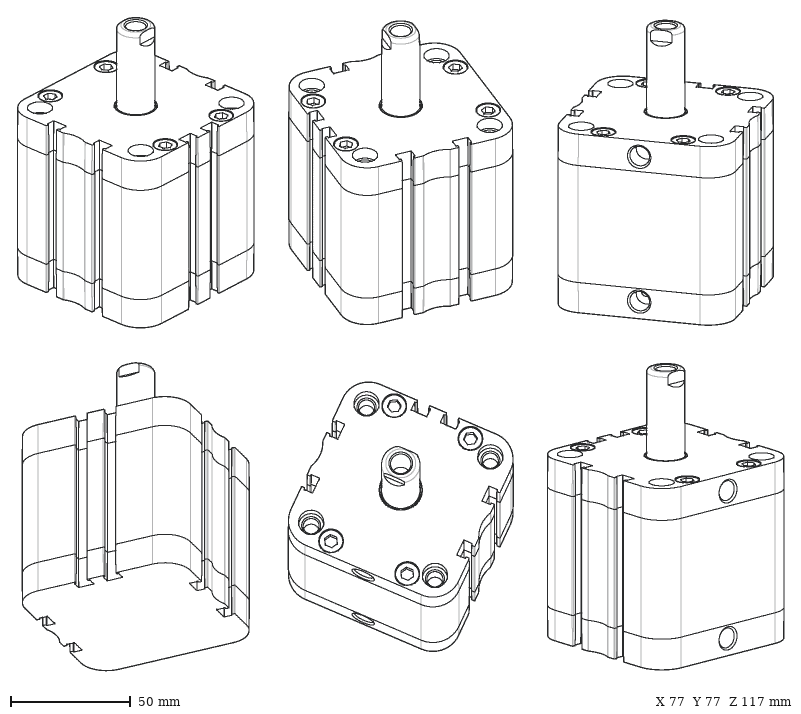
import cadquery as cq
import math

WIDTH = 77.0
HALF_WIDTH = WIDTH / 2
CORNER_RADIUS = 11.9
TOTAL_HEIGHT = 117.0
BODY_HEIGHT = 79.0
BARREL_BOTTOM = 13.5
BARREL_TOP = 65.2
CAP_DRAFT = 0.5

SLOT_MOUTH_WIDTH = 5.3
SLOT_INNER_WIDTH = 6.9
SLOT_LIP = 1.8
SLOT_DEPTH = 5.4
SLOT_OFFSET = 12.9
SIDE_SLOT_DEPTH = 4.9
SIDE_SLOT_OFFSET = 6.7
SIDE_SLOT_LIP = 1.4
SLOT_EDGE_RADIUS = 0.4
FLUTE_WIDTH = 12.0
FLUTE_DEPTH = 1.4
FLUTE_EDGE_RADIUS = 0.7

MOUNT_OFFSET = 28.3
MOUNT_COUNTERBORE_DIAMETER = 10.5
MOUNT_COUNTERBORE_DEPTH = 5.0
MOUNT_CHAMFER_DIAMETER = 8.0
MOUNT_HOLE_DIAMETER = 6.7

SCREW_X = 32.3
SCREW_Y = 17.4
SCREW_POCKET_DIAMETER = 10.3
SCREW_HEAD_DIAMETER = 9.8
SCREW_POCKET_DEPTH = 1.2
SCREW_HEAD_RECESS = 0.4
HEX_ACROSS_FLATS = 5.0
HEX_DEPTH = 3.0
HEX_HALF_SECTOR = 30.0

PORT_HEIGHT_BOTTOM = 7.6
PORT_HEIGHT_TOP = 71.7
PORT_DIAMETER = 8.5
PORT_CHAMFER_DIAMETER = 10.3
PORT_DEPTH = 10.0
PASSAGE_DIAMETER = 4.0
PASSAGE_RISE = 1.0
PASSAGE_DEPTH = 5.0

ROD_DIAMETER = 16.0
ROD_EDGE_RADIUS = 1.8
FLAT_WIDTH = 13.0
FLAT_LENGTH = 5.0
ROD_HOLE_DIAMETER = 8.5
ROD_HOLE_CHAMFER_DIAMETER = 9.8
ROD_HOLE_DEPTH = 19.9
DRILL_POINT_ANGLE = 118.0
SEAL_INNER_DIAMETER = 16.5
SEAL_DIAMETER = 17.7
SEAL_SEAT_DIAMETER = 18.0
SEAL_GROOVE_DEPTH = 1.0


def t_slot(depth, lip, height):
    """T-slot cutter along Z with rounded lips, opening towards +Y at the block's side."""
    half_mouth = SLOT_MOUTH_WIDTH / 2
    half_inner = SLOT_INNER_WIDTH / 2
    half_opening = half_mouth + SLOT_EDGE_RADIUS
    lip_y = HALF_WIDTH - lip
    floor_y = HALF_WIDTH - depth
    outer_rounding_y = HALF_WIDTH - SLOT_EDGE_RADIUS
    inner_rounding_y = lip_y + SLOT_EDGE_RADIUS
    return (
        cq.Workplane("XY")
        .moveTo(-half_opening, HALF_WIDTH)
        .radiusArc((-half_mouth, outer_rounding_y), SLOT_EDGE_RADIUS)
        .lineTo(-half_mouth, inner_rounding_y)
        .radiusArc((-half_opening, lip_y), SLOT_EDGE_RADIUS)
        .lineTo(-half_inner, lip_y)
        .lineTo(-half_inner, floor_y)
        .lineTo(half_inner, floor_y)
        .lineTo(half_inner, lip_y)
        .lineTo(half_opening, lip_y)
        .radiusArc((half_mouth, inner_rounding_y), SLOT_EDGE_RADIUS)
        .lineTo(half_mouth, outer_rounding_y)
        .radiusArc((half_opening, HALF_WIDTH), SLOT_EDGE_RADIUS)
        .close()
        .extrude(height)
    )


def flute(height):
    """Shallow circular hollow along Z in the middle of the +Y side."""
    half_chord = FLUTE_WIDTH / 2
    return (
        cq.Workplane("XY")
        .moveTo(-half_chord, HALF_WIDTH)
        .threePointArc((0, HALF_WIDTH - FLUTE_DEPTH), (half_chord, HALF_WIDTH))
        .close()
        .extrude(height)
    )


def profile_block(height):
    """Straight stretch of the housing profile, standing on Z = 0."""
    block = (
        cq.Workplane("XY")
        .rect(WIDTH, WIDTH)
        .extrude(height)
        .edges("|Z")
        .fillet(CORNER_RADIUS)
    )
    for side_angle in (0, 180):
        block = block.cut(flute(height).rotate((0, 0, 0), (0, 0, 1), side_angle))
    flute_zone = cq.selectors.BoxSelector(
        (-FLUTE_WIDTH, -WIDTH, 0), (FLUTE_WIDTH, WIDTH, height)
    )
    block = block.edges("|Z").edges(flute_zone).fillet(FLUTE_EDGE_RADIUS)
    for side_angle in (0, 180):
        for x in (-SLOT_OFFSET, SLOT_OFFSET):
            slot = t_slot(SLOT_DEPTH, SLOT_LIP, height).translate((x, 0, 0))
            block = block.cut(slot.rotate((0, 0, 0), (0, 0, 1), side_angle))
    for x in (-SIDE_SLOT_OFFSET, SIDE_SLOT_OFFSET):
        slot = t_slot(SIDE_SLOT_DEPTH, SIDE_SLOT_LIP, height).translate((x, 0, 0))
        block = block.cut(slot.rotate((0, 0, 0), (0, 0, 1), -90))
    return block


def drafted_block(height):
    """Housing profile at Z = 0, narrowing by the cap draft over a positive or negative height."""
    section = profile_block(abs(height)).faces("<Z").wires().val()
    return cq.Workplane("XY").add(section).toPending().extrude(height, taper=CAP_DRAFT)


def disc(diameter, bottom, top):
    """Cylinder on the Z axis between two heights."""
    return cq.Workplane("XY").circle(diameter / 2).extrude(top - bottom).translate((0, 0, bottom))


def chamfered_hole(diameter, mouth_diameter, depth):
    """Cutter for a blind hole down from the origin, with a 45 degree mouth."""
    radius = diameter / 2
    mouth_radius = mouth_diameter / 2
    return (
        cq.Workplane("XZ")
        .polyline([
            (0, 0),
            (mouth_radius, 0),
            (radius, radius - mouth_radius),
            (radius, -depth),
            (0, -depth),
        ])
        .close()
        .revolve(360, (0, 0, 0), (0, 1, 0))
    )


def mount_hole(depth):
    """Cutter for a counterbored threaded hole running down from the origin."""
    counterbore = disc(MOUNT_COUNTERBORE_DIAMETER, -MOUNT_COUNTERBORE_DEPTH, 0)
    thread = chamfered_hole(
        MOUNT_HOLE_DIAMETER, MOUNT_CHAMFER_DIAMETER, depth - MOUNT_COUNTERBORE_DEPTH
    )
    return counterbore.union(thread.translate((0, 0, -MOUNT_COUNTERBORE_DEPTH)))


def screw_head_relief(hex_angle):
    """Cutter that leaves a sunken socket screw head below the origin."""
    pocket = disc(SCREW_POCKET_DIAMETER, -SCREW_POCKET_DEPTH, 0)
    head = disc(SCREW_HEAD_DIAMETER, -SCREW_POCKET_DEPTH, -SCREW_HEAD_RECESS)
    across_corners = HEX_ACROSS_FLATS / math.cos(math.radians(HEX_HALF_SECTOR))
    socket = (
        cq.Workplane("XY")
        .polygon(6, across_corners)
        .extrude(-HEX_DEPTH)
        .rotate((0, 0, 0), (0, 0, 1), hex_angle)
    )
    return pocket.cut(head).union(socket)


def cut_face_details(cap, thickness):
    """Cut the mounting holes and screw heads into a cap whose outer face is at Z = 0."""
    for x_side in (-1, 1):
        hex_angle = HEX_HALF_SECTOR if x_side < 0 else 0
        for y_side in (-1, 1):
            hole = mount_hole(thickness)
            cap = cap.cut(hole.translate((x_side * MOUNT_OFFSET, y_side * MOUNT_OFFSET, 0)))
            relief = screw_head_relief(hex_angle)
            cap = cap.cut(relief.translate((x_side * SCREW_X, y_side * SCREW_Y, 0)))
    return cap


def port(height):
    """Cutter for an air port entering the -X side at the given height."""
    hole = chamfered_hole(PORT_DIAMETER, PORT_CHAMFER_DIAMETER, PORT_DEPTH)
    return hole.rotate((0, 0, 0), (0, 1, 0), -90).translate((-HALF_WIDTH, 0, height))


def make_barrel():
    return profile_block(BARREL_TOP - BARREL_BOTTOM).translate((0, 0, BARREL_BOTTOM))


def make_top_cap():
    thickness = BODY_HEIGHT - BARREL_TOP
    cap = drafted_block(thickness).translate((0, 0, -thickness))
    cap = cut_face_details(cap, thickness)
    cap = cap.translate((0, 0, BODY_HEIGHT)).cut(port(PORT_HEIGHT_TOP))

    groove_bottom = BODY_HEIGHT - SEAL_GROOVE_DEPTH
    seal_groove = disc(SEAL_SEAT_DIAMETER, groove_bottom, BODY_HEIGHT).cut(
        disc(SEAL_DIAMETER, groove_bottom, BODY_HEIGHT)
    )
    return (
        cap.cut(disc(ROD_DIAMETER, BARREL_TOP, BODY_HEIGHT))
        .cut(disc(SEAL_INNER_DIAMETER, groove_bottom, BODY_HEIGHT))
        .cut(seal_groove)
    )


def make_bottom_cap():
    cap = drafted_block(-BARREL_BOTTOM).translate((0, 0, BARREL_BOTTOM))
    cap = cap.cut(port(PORT_HEIGHT_BOTTOM))

    passage = (
        cq.Workplane("YZ")
        .circle(PASSAGE_DIAMETER / 2)
        .extrude(PORT_DEPTH + PASSAGE_DEPTH)
        .translate((-HALF_WIDTH, 0, PORT_HEIGHT_BOTTOM + PASSAGE_RISE))
    )
    return cap.cut(passage)


def flat_cutter():
    """Wrench flat on the +X side of the rod tip, ending in a 45 degree slope."""
    flat_x = FLAT_WIDTH / 2
    flat_bottom = TOTAL_HEIGHT - FLAT_LENGTH
    reach = ROD_DIAMETER - flat_x
    return (
        cq.Workplane("XZ")
        .polyline([
            (flat_x, TOTAL_HEIGHT),
            (flat_x, flat_bottom),
            (flat_x + reach, flat_bottom - reach),
            (flat_x + reach, TOTAL_HEIGHT),
        ])
        .close()
        .extrude(ROD_DIAMETER / 2, both=True)
    )


def make_rod():
    rod = disc(ROD_DIAMETER, BARREL_TOP, TOTAL_HEIGHT).faces(">Z").edges().fillet(ROD_EDGE_RADIUS)
    for side_angle in (0, 180):
        rod = rod.cut(flat_cutter().rotate((0, 0, 0), (0, 0, 1), side_angle))

    hole = chamfered_hole(ROD_HOLE_DIAMETER, ROD_HOLE_CHAMFER_DIAMETER, ROD_HOLE_DEPTH)
    hole_radius = ROD_HOLE_DIAMETER / 2
    point_depth = hole_radius / math.tan(math.radians(DRILL_POINT_ANGLE / 2))
    drill_point = (
        cq.Workplane("XZ")
        .polyline([(0, 0), (hole_radius, 0), (0, -point_depth)])
        .close()
        .revolve(360, (0, 0, 0), (0, 1, 0))
        .translate((0, 0, -ROD_HOLE_DEPTH))
    )
    return rod.cut(hole.union(drill_point).translate((0, 0, TOTAL_HEIGHT)))


barrel = make_barrel()
top_cap = make_top_cap()
bottom_cap = make_bottom_cap()
rod = make_rod()

result = cq.Compound.makeCompound([barrel.val(), top_cap.val(), bottom_cap.val(), rod.val()])